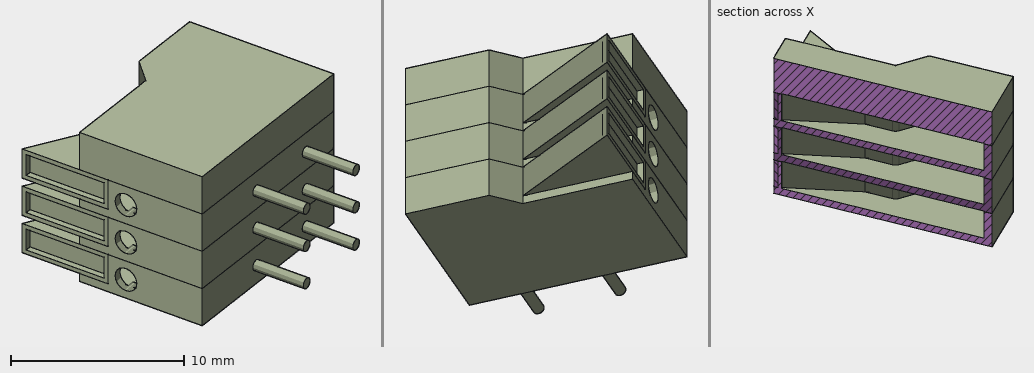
import cadquery as cq

pole_count = 3
overall_height = 10.16
body_width = 10.06
body_depth = 13.5
notch_step = 1.5
rear_side = 5.2
wall = 0.5

lever_reach = 4.01
lever_inner = 2.0
lever_height = 2.0
recess_rim = 0.29
recess_depth = 0.4

entry_diameter = 1.5
entry_gap = 0.5
entry_length = 1.0

pin_diameter = 0.7
pin_length = 3.53
pin_rear_inset = 2.9
pin_pitch = 5.07

slice_height = overall_height / (pole_count + 1)
front_left_x = lever_reach
rear_left_x = front_left_x - notch_step
right_x = rear_left_x + body_width
notch_rear_y = body_depth - rear_side
notch_y = notch_rear_y - notch_step
lever_right_x = front_left_x + lever_inner
entry_x = lever_right_x + entry_gap + entry_diameter / 2
floor_z = slice_height - lever_height
middle_z = slice_height / 2


def slice_outline():
    return (
        cq.Workplane("XY")
        .moveTo(front_left_x, 0)
        .lineTo(right_x, 0)
        .lineTo(right_x, body_depth)
        .lineTo(rear_left_x, body_depth)
        .lineTo(rear_left_x, notch_rear_y)
        .lineTo(front_left_x, notch_y)
        .close()
    )


def make_cover():
    return slice_outline().extrude(slice_height)


def lever_blank():
    """Triangular prism: the lever before its recess, and the slot it fills in a pole."""
    return (
        cq.Workplane("XY", origin=(0, 0, floor_z))
        .moveTo(0, 0)
        .lineTo(lever_right_x, 0)
        .lineTo(front_left_x, notch_y)
        .close()
        .extrude(lever_height)
    )


def make_lever():
    recess = (
        cq.Workplane("XY", origin=(recess_rim, 0, floor_z + recess_rim))
        .box(
            lever_right_x - 2 * recess_rim,
            recess_depth,
            lever_height - 2 * recess_rim,
            centered=False,
        )
    )
    return lever_blank().cut(recess)


def chamber():
    """Hollow of a pole, open at the top and closed by the slice above."""
    return (
        slice_outline()
        .offset2D(-wall)
        .extrude(lever_height)
        .translate((0, 0, floor_z))
    )


def wire_entry():
    return (
        cq.Workplane("XZ", origin=(entry_x, 0, middle_z))
        .circle(entry_diameter / 2)
        .extrude(-entry_length)
    )


def solder_pins():
    first_pin_y = body_depth - pin_rear_inset
    return (
        cq.Workplane("YZ", origin=(right_x, 0, middle_z))
        .pushPoints([(first_pin_y, 0), (first_pin_y - pin_pitch, 0)])
        .circle(pin_diameter / 2)
        .extrude(pin_length)
    )


def make_pole():
    block = slice_outline().extrude(slice_height)
    hollow = block.cut(chamber()).cut(lever_blank()).cut(wire_entry())
    return hollow.union(solder_pins())


bodies = []
for level in range(pole_count):
    rise = (0, 0, level * slice_height)
    bodies.append(make_pole().translate(rise).solids().val())
    bodies.append(make_lever().translate(rise).solids().val())
bodies.append(make_cover().translate((0, 0, pole_count * slice_height)).val())

result = cq.Compound.makeCompound(bodies)